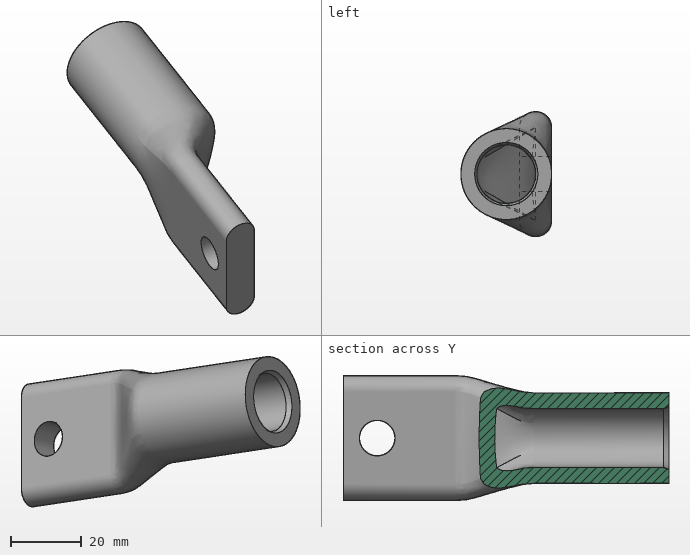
import cadquery as cq
import math

total_length = 92.1
barrel_length = 38.1
neck_length = 22.2
barrel_diameter = 25.7
bore_diameter = 16.6
bore_chamfer_width = 0.6
bore_chamfer_depth = 1.6
palm_width = 35.4
palm_thickness = 9.1
hole_diameter = 9.9
hole_end_distance = 9.6
closed_slit_thickness = 0.1
seam_angle = 30.0
bend_fraction = 0.25
neck_steps = 8
straight_tolerance = 9.21e-07

barrel_radius = barrel_diameter / 2
bore_radius = bore_diameter / 2
palm_center_y = (palm_thickness - barrel_diameter) / 2
palm_start = barrel_length + neck_length
palm_length = total_length - palm_start
slit_width = palm_width - palm_thickness + closed_slit_thickness


def circle_points(radius):
    """Points around a circle (y, z): alternating segment ends and middles."""
    seam = math.radians(seam_angle)
    quarter = math.pi / 2
    angles = [
        -seam, 0, seam,
        quarter, math.pi - seam,
        math.pi, math.pi + seam,
        3 * quarter,
    ]
    return [(-radius * math.cos(a), radius * math.sin(a)) for a in angles]


def slot_points(width, thickness):
    """Matching points around a round-ended slot centred on the palm."""
    half_width = width / 2
    half_thickness = thickness / 2
    half_flat = half_width - half_thickness
    front = palm_center_y - half_thickness
    back = palm_center_y + half_thickness
    return [
        (front, -half_flat), (front, 0), (front, half_flat),
        (palm_center_y, half_width), (back, half_flat),
        (back, 0), (back, -half_flat),
        (palm_center_y, -half_width),
    ]


def section(x, points):
    """Closed wire at x: four segments, each through an end, a middle and an end."""
    vertices = [cq.Vector(x, y, z) for y, z in points]
    edges = []
    for start in range(0, len(vertices), 2):
        first, middle = vertices[start:start + 2]
        last = vertices[(start + 2) % len(vertices)]
        bulge = (middle - (first + last) * 0.5).Length
        if bulge < straight_tolerance:
            edges.append(cq.Edge.makeLine(first, last))
        else:
            edges.append(cq.Edge.makeThreePointArc(first, middle, last))
    return cq.Wire.assembleEdges(edges)


def neck_blend(t):
    """Rise from 0 to 1 along a straight ramp with a parabolic bend at each end."""
    slope = 1 / (1 - bend_fraction)
    if t < bend_fraction:
        return slope * t * t / (2 * bend_fraction)
    if t > 1 - bend_fraction:
        return 1 - neck_blend(1 - t)
    return slope * (t - bend_fraction / 2)


def neck(radius, width, thickness):
    """Smooth transition from a circle to a slot, level with the axis at both ends."""
    wires = []
    for step in range(neck_steps + 1):
        t = step / neck_steps
        blend = neck_blend(t)
        points = [
            (cy + (sy - cy) * blend, cz + (sz - cz) * blend)
            for (cy, cz), (sy, sz) in zip(circle_points(radius), slot_points(width, thickness))
        ]
        wires.append(section(barrel_length + neck_length * t, points))
    return cq.Workplane(obj=cq.Solid.makeLoft(wires))


barrel = cq.Workplane("YZ").circle(barrel_radius).extrude(barrel_length)
palm = (
    cq.Workplane("YZ", origin=(palm_start, palm_center_y, 0))
    .slot2D(palm_width, palm_thickness, 90)
    .extrude(palm_length)
)
body = barrel.union(neck(barrel_radius, palm_width, palm_thickness)).union(palm)

bore = cq.Workplane("YZ").circle(bore_radius).extrude(barrel_length)
mouth = cq.Workplane(
    obj=cq.Solid.makeCone(
        bore_radius + bore_chamfer_width, bore_radius, bore_chamfer_depth,
        cq.Vector(0, 0, 0), cq.Vector(1, 0, 0),
    )
)
cavity = neck(bore_radius, slit_width, closed_slit_thickness)

bolt_hole = (
    cq.Workplane("XZ", origin=(total_length - hole_end_distance, barrel_radius, 0))
    .circle(hole_diameter / 2)
    .extrude(barrel_diameter)
)

result = body.cut(bore).cut(mouth).cut(cavity).cut(bolt_hole)